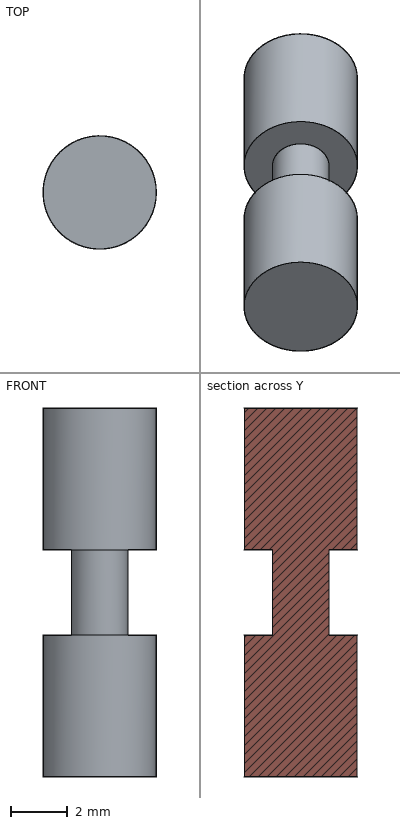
import cadquery as cq

barrel_diameter = 4.0
barrel_length = 5.0
neck_diameter = 2.0
neck_length = 3.0

neck_bottom = barrel_length
neck_top = neck_bottom + neck_length


def upright_cylinder(diameter, length, bottom):
    """Solid cylinder on the Z axis, rising from the height `bottom`."""
    return cq.Workplane("XY").workplane(offset=bottom).circle(diameter / 2).extrude(length)


lower_barrel = upright_cylinder(barrel_diameter, barrel_length, 0)
neck = upright_cylinder(neck_diameter, neck_length, neck_bottom)
upper_barrel = upright_cylinder(barrel_diameter, barrel_length, neck_top)

result = lower_barrel.union(neck).union(upper_barrel)